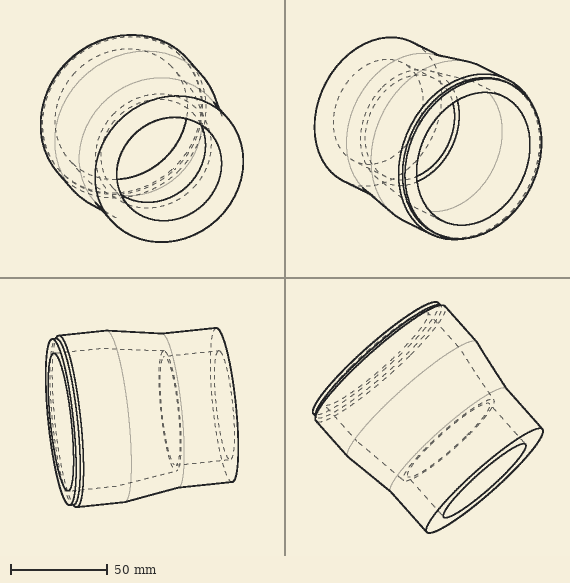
import cadquery as cq

length = 86.5
stretch = length / 3
taper_start = stretch
taper_end = 2 * stretch

large_outer_diameter = 90.0
small_outer_diameter = 80.8
lip_diameter = 87.0

large_bore_diameter = 72.2
taper_end_bore_diameter = 63.0
small_bore_diameter = 57.1

bore_taper_lead = 3.4
bore_taper_start = taper_start - bore_taper_lead

lip_length = 2.2
lip_chamfer = (large_outer_diameter - lip_diameter) / 2


def revolve_about_x(profile_points):
    """Revolve a closed (axial position, radius) outline about the X axis."""
    outline = cq.Workplane("XY").polyline(profile_points).close()
    return outline.revolve(360, (0, 0, 0), (1, 0, 0))


def make_body():
    """Solid outer form: lip, large cylinder, taper and small cylinder."""
    large_radius = large_outer_diameter / 2
    small_radius = small_outer_diameter / 2
    lip_radius = lip_diameter / 2
    return revolve_about_x([
        (0, 0),
        (0, lip_radius),
        (lip_length, lip_radius),
        (lip_length + lip_chamfer, large_radius),
        (taper_start, large_radius),
        (taper_end, small_radius),
        (length, small_radius),
        (length, 0),
    ])


def make_bore():
    """Through bore: large cylinder, taper, flat shoulder and small cylinder."""
    large_radius = large_bore_diameter / 2
    small_radius = small_bore_diameter / 2
    return revolve_about_x([
        (0, 0),
        (0, large_radius),
        (bore_taper_start, large_radius),
        (taper_end, taper_end_bore_diameter / 2),
        (taper_end, small_radius),
        (length, small_radius),
        (length, 0),
    ])


result = make_body().cut(make_bore())